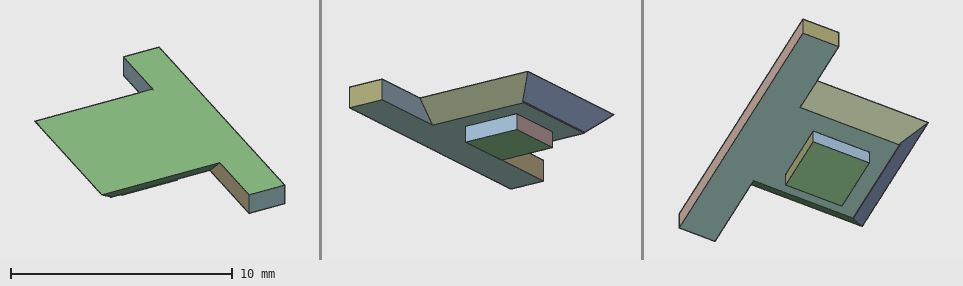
import cadquery as cq

bar_length = 12.7
bar_depth = 1.8
plate_thickness = 1.0

overall_depth = 7.75
tongue_width = 6.78
undercut = plate_thickness
front_land = 0.06

overall_height = 1.77
boss_side = 2.82
boss_back_gap = 2.93

back_y = overall_depth / 2
front_y = -back_y
bar_front_y = back_y - bar_depth
land_y = front_y + plate_thickness - front_land


def make_bar():
    return cq.Workplane("XY").box(
        bar_length, bar_depth, plate_thickness, centered=(True, False, False)
    ).translate((0, bar_front_y, 0))


def make_tongue():
    """Extrude the side-tapered section, then cut the sloped front end."""
    half_top = tongue_width / 2
    half_bottom = half_top - undercut
    tongue = (
        cq.Workplane("XZ", origin=(0, back_y, 0))
        .polyline([
            (-half_bottom, 0),
            (half_bottom, 0),
            (half_top, plate_thickness),
            (-half_top, plate_thickness),
        ])
        .close()
        .extrude(overall_depth)
    )
    front_wedge = (
        cq.Workplane("YZ")
        .polyline([
            (front_y, 0),
            (land_y, 0),
            (land_y, front_land),
            (front_y, plate_thickness),
        ])
        .close()
        .extrude(half_top, both=True)
    )
    return tongue.cut(front_wedge)


def make_boss():
    boss_height = overall_height - plate_thickness
    boss_y = back_y - boss_back_gap - boss_side / 2
    return cq.Workplane("XY").center(0, boss_y).rect(boss_side, boss_side).extrude(-boss_height)


result = make_bar().union(make_tongue()).union(make_boss())